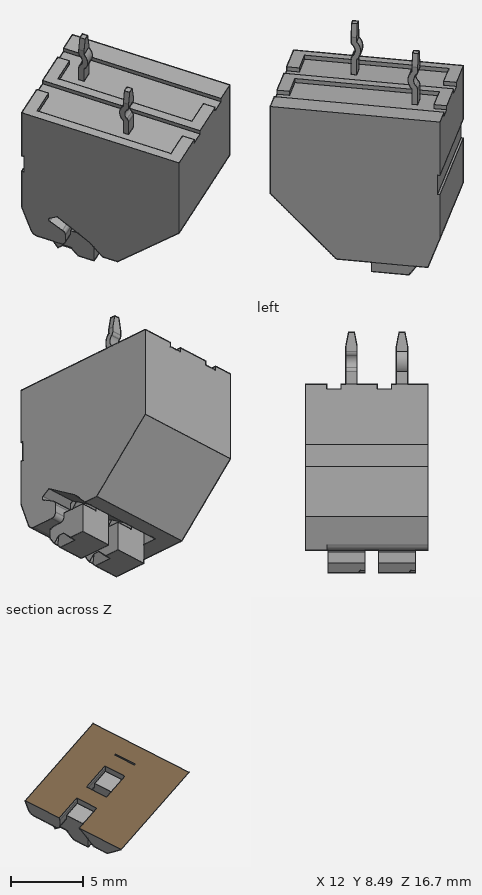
import cadquery as cq
import math


WIDTH = 12.0
PITCH = 3.5
POLES = 2
END_PLATE = 1.49
POLES_DEPTH = POLES * PITCH
DEPTH = POLES_DEPTH + END_PLATE
HEIGHT = 16.7
BODY_BOTTOM = 1.57
BODY_TOP = 13.1
LEFT_SLOPE_RUN = 0.85
LEFT_SLOPE_TOP = 3.9
RIGHT_SLOPE = 4.7
BOTTOM_EDGE_RADIUS = 0.57

GROOVE_DEPTH = 0.17
GROOVE_BOTTOM = 7.4
GROOVE_TOP = 8.9

RECESS_DEPTH = 0.32
RECESS_FRONT = 0.62
RECESS_END_WALL = 0.9
CHANNEL_WIDTH = 0.97

SLOT_WALL_X = 3.34
SLOT_NOSE = (SLOT_WALL_X, 2.79)
SLOT_TIP = (1.9, 3.52)
SLOT_APEX = (2.7, 4.07)
SLOT_CEILING_END = (5.16, 2.59)
SLOT_MOUTH_X = SLOT_CEILING_END[0] + SLOT_CEILING_END[1] - BODY_BOTTOM
NOSE_TOP_RADIUS = 0.4
NOSE_BOTTOM_RADIUS = 0.37
TIP_RADIUS = 0.17

LEVER_FRONT = 0.85
LEVER_DEPTH = 2.59
LEVER_LEFT = 2.0
LEVER_RIGHT = 5.15
LEVER_SHELF_Z = 2.22
LEVER_LIP_Z = 1.47
LEVER_LIP_RUN = 0.4
LEVER_BEVEL_RUN = 0.48
LEVER_BEVEL_RISE = 0.68

SHANK_SETBACK = 1.34
SHANK_FOOT = (2.7, 3.1)
SHANK_SHOULDER = (3.24, 3.74)
SHANK_TIP_X = 2.52
SHANK_TIP_SETBACK = 0.17

NOTCH_HEIGHT = 0.62
NOTCH_DEPTH = 0.48
NOTCH_TOP_LEFT = 2.84
NOTCH_TOP_RIGHT = 3.3

PIN_THICKNESS = 0.4
PIN_WIDTH = 0.8
PIN_TIP_WIDTH = 0.42
PIN_TAPER_START = 15.71
PIN_Y = 1.8
FRONT_PIN_RIGHT = 7.52
BACK_PIN_LEFT = 2.12
BEND_Z = 14.66
BEND_HALF_LENGTH = 0.7
BEND_BULGE = 0.28


def extrude_y(sketch, start, end):
    """Extrude an XZ sketch from Y = start to Y = end."""
    return sketch.extrude(start - end).translate((0, start, 0))


def plate(points, start, end):
    """Straight-sided XZ outline extruded from Y = start to Y = end."""
    return extrude_y(cq.Workplane("XZ").polyline(points).close(), start, end)


def housing_section(start, end):
    outline = [
        (LEFT_SLOPE_RUN, BODY_BOTTOM),
        (WIDTH - RIGHT_SLOPE, BODY_BOTTOM),
        (WIDTH, BODY_BOTTOM + RIGHT_SLOPE),
        (WIDTH, BODY_TOP),
        (0, BODY_TOP),
        (0, GROOVE_TOP),
        (GROOVE_DEPTH, GROOVE_TOP),
        (GROOVE_DEPTH, GROOVE_BOTTOM),
        (0, GROOVE_BOTTOM),
        (0, LEFT_SLOPE_TOP),
    ]
    return plate(outline, start, end)


def edge_at(x, z):
    """Selector for the edge along Y that passes through (x, z)."""
    margin = 0.02
    low = (x - margin, -0.17, z - margin)
    high = (x + margin, DEPTH + 0.17, z + margin)
    return cq.selectors.BoxSelector(low, high)


def hooked_slot():
    outline = [
        (SLOT_WALL_X, BODY_BOTTOM),
        SLOT_NOSE,
        SLOT_TIP,
        SLOT_APEX,
        SLOT_CEILING_END,
        (SLOT_MOUTH_X, BODY_BOTTOM),
    ]
    slot = plate(outline, 0, POLES_DEPTH)
    slot = slot.edges(edge_at(*SLOT_TIP)).fillet(TIP_RADIUS)
    return slot.edges(edge_at(*SLOT_NOSE)).fillet(NOSE_TOP_RADIUS)


def top_recess(y):
    """Recess and end channel of the pole whose front is at Y = y."""
    length = WIDTH - 2 * RECESS_END_WALL
    floor = BODY_TOP - RECESS_DEPTH
    pocket = cq.Workplane("XY").box(length, PITCH - RECESS_FRONT, RECESS_DEPTH, centered=False)
    pocket = pocket.translate((RECESS_END_WALL, y + RECESS_FRONT, floor))
    channel = cq.Workplane("XY").box(WIDTH, CHANNEL_WIDTH, RECESS_DEPTH, centered=False)
    return pocket.union(channel.translate((0, y + PITCH - CHANNEL_WIDTH, floor)))


def housing(slot):
    poles = housing_section(0, POLES_DEPTH)
    poles = poles.edges(edge_at(LEFT_SLOPE_RUN, BODY_BOTTOM)).fillet(BOTTOM_EDGE_RADIUS)
    poles = poles.cut(slot)
    poles = poles.edges(edge_at(SLOT_WALL_X, BODY_BOTTOM)).fillet(NOSE_BOTTOM_RADIUS)
    body = poles.union(housing_section(POLES_DEPTH, DEPTH))
    for pole in range(POLES):
        body = body.cut(top_recess(pole * PITCH))
    return body


def lever_notch(front):
    """Trapezoidal notch with 45 degree flanks and a back face that leans out to the front edge."""
    outline = [
        (NOTCH_TOP_LEFT - NOTCH_HEIGHT, 0),
        (NOTCH_TOP_RIGHT + NOTCH_HEIGHT, 0),
        (NOTCH_TOP_RIGHT, NOTCH_HEIGHT),
        (NOTCH_TOP_LEFT, NOTCH_HEIGHT),
    ]
    flanks = plate(outline, front, front + NOTCH_DEPTH)
    wedge = [(front, 0), (front + NOTCH_DEPTH, 0), (front, NOTCH_HEIGHT)]
    return flanks.intersect(cq.Workplane("YZ").polyline(wedge).close().extrude(WIDTH))


def lever_shank(front, back, slot):
    """Stepped upper part of a lever, trimmed to the slot that holds it."""
    shank_outline = [
        (SLOT_WALL_X, LEVER_SHELF_Z),
        SHANK_FOOT,
        SHANK_SHOULDER,
        (LEVER_RIGHT, SLOT_APEX[1]),
        (LEVER_RIGHT, LEVER_SHELF_Z),
    ]
    tip_outline = [
        (SHANK_TIP_X, LEVER_SHELF_Z),
        (SHANK_TIP_X, SLOT_APEX[1]),
        (SHANK_SHOULDER[0], SLOT_APEX[1]),
        (SHANK_SHOULDER[0], LEVER_SHELF_Z),
    ]
    shank_front = front + SHANK_SETBACK
    shank = plate(shank_outline, shank_front, back)
    shank = shank.union(plate(tip_outline, shank_front + SHANK_TIP_SETBACK, back))
    return shank.intersect(slot)


def lever(y, slot):
    """Lever of the pole whose front is at Y = y, filling the rounded lower corner of the slot nose."""
    front = y + LEVER_FRONT
    back = front + LEVER_DEPTH
    outline = [
        (LEVER_LEFT + LEVER_BEVEL_RUN, 0),
        (LEVER_RIGHT, 0),
        (LEVER_RIGHT, LEVER_SHELF_Z),
        (SLOT_WALL_X, LEVER_SHELF_Z),
        (SLOT_WALL_X, BODY_BOTTOM + NOSE_BOTTOM_RADIUS),
        (SLOT_WALL_X - NOSE_BOTTOM_RADIUS, BODY_BOTTOM),
        (LEVER_LEFT + LEVER_LIP_RUN, BODY_BOTTOM),
        (LEVER_LEFT, LEVER_LIP_Z),
        (LEVER_LEFT, LEVER_BEVEL_RISE),
    ]
    block = plate(outline, front, back).cut(lever_notch(front))
    return block.union(lever_shank(front, back, slot))


def pin():
    """Pin bent toward +X, with its left face on X = 0 and its width centred on Y = 0."""
    bend_radius = (BEND_HALF_LENGTH**2 + BEND_BULGE**2) / (2 * BEND_BULGE)
    inner_radius = bend_radius - PIN_THICKNESS
    bend_center_x = PIN_THICKNESS + BEND_BULGE - bend_radius
    half_angle = math.asin(BEND_HALF_LENGTH / bend_radius)
    inner_x = bend_center_x + inner_radius * math.cos(half_angle)
    inner_rise = inner_radius * math.sin(half_angle)
    blend_x = PIN_THICKNESS * (1 - math.cos(half_angle / 2))
    blend_rise = BEND_HALF_LENGTH - PIN_THICKNESS * math.sin(half_angle / 2)
    bend_low = BEND_Z - BEND_HALF_LENGTH
    bend_high = BEND_Z + BEND_HALF_LENGTH
    root = BODY_TOP - RECESS_DEPTH
    profile = (
        cq.Workplane("XZ")
        .moveTo(0, root)
        .lineTo(PIN_THICKNESS, root)
        .lineTo(PIN_THICKNESS, bend_low)
        .threePointArc((PIN_THICKNESS + BEND_BULGE, BEND_Z), (PIN_THICKNESS, bend_high))
        .lineTo(PIN_THICKNESS, HEIGHT)
        .lineTo(0, HEIGHT)
        .lineTo(0, bend_high)
        .threePointArc((blend_x, BEND_Z + blend_rise), (inner_x, BEND_Z + inner_rise))
        .threePointArc((BEND_BULGE, BEND_Z), (inner_x, BEND_Z - inner_rise))
        .threePointArc((blend_x, BEND_Z - blend_rise), (0, bend_low))
        .close()
    )
    half_width = PIN_WIDTH / 2
    half_tip = PIN_TIP_WIDTH / 2
    face = [
        (-half_width, root),
        (half_width, root),
        (half_width, PIN_TAPER_START),
        (half_tip, HEIGHT),
        (-half_tip, HEIGHT),
        (-half_width, PIN_TAPER_START),
    ]
    tapered = cq.Workplane("YZ").polyline(face).close().extrude(2 * PIN_THICKNESS)
    return extrude_y(profile, -half_width, half_width).intersect(tapered)


slot = hooked_slot()
result = housing(slot)
for pole in range(POLES):
    result = result.union(lever(pole * PITCH, slot))

result = result.union(pin().mirror("YZ").translate((FRONT_PIN_RIGHT, PIN_Y, 0)))
result = result.union(pin().translate((BACK_PIN_LEFT, PIN_Y + PITCH, 0)))